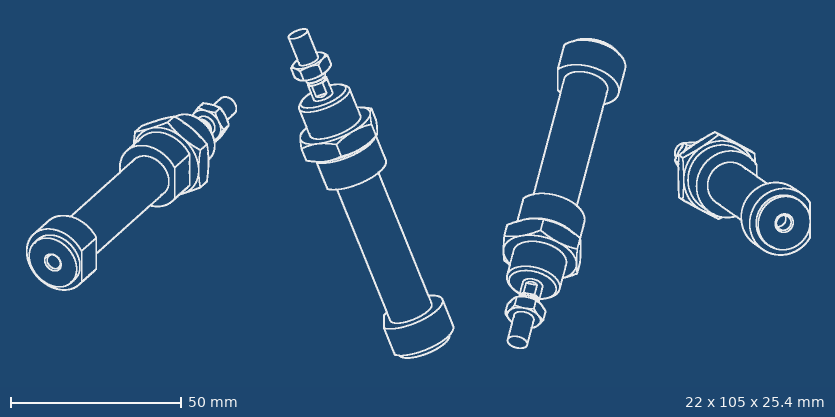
import cadquery as cq
import math


tube_diameter = 13.2
collar_diameter = 20.0
collar_length = 9.0
collar_flat_offset = 8.5
boss_diameter = 16.0
rear_boss_length = 2.0
tube_length = 47.0
front_boss_length = 17.0
front_boss_chamfer = 0.9

rear_hole_diameter = 4.5
rear_hole_mouth_diameter = 5.5
rear_hole_depth = 6.0
drill_point_angle = 118.0

rod_diameter = 6.0
rod_length = 21.0
relief_diameter = 5.0
relief_width = 1.0
relief_from_tip = 15.0
wrench_flat_width = 5.0
wrench_flat_length = 3.5

mounting_nut_across_flats = 22.0
mounting_nut_thickness = 6.0
mounting_nut_gap = 1.0
rod_nut_across_flats = 10.0
rod_nut_thickness = 4.0
rod_nut_from_tip = 9.0
nut_chamfer_angle = 30.0

rear_collar_y = rear_boss_length
tube_y = rear_collar_y + collar_length
front_collar_y = tube_y + tube_length
front_boss_y = front_collar_y + collar_length
front_face_y = front_boss_y + front_boss_length
rod_tip_y = front_face_y + rod_length
mounting_nut_y = front_boss_y + mounting_nut_gap
rod_nut_y = rod_tip_y - rod_nut_from_tip - rod_nut_thickness


def plane_at(y):
    """Sketch plane across the axis at y, extruding toward +Y, with local X along -X."""
    return cq.Workplane(cq.Plane(origin=(0, y, 0), xDir=(-1, 0, 0), normal=(0, 1, 0)))


def cylinder(y, length, diameter):
    return plane_at(y).circle(diameter / 2).extrude(length)


def revolve_about_y(points):
    """Turn a closed (radius, y) outline about the Y axis."""
    return cq.Workplane("XY").polyline(points).close().revolve(360, (0, 0, 0), (0, 1, 0))


def make_collar(y):
    """Round collar with one flat facing +X."""
    beyond_flat = (
        plane_at(y)
        .center(-collar_flat_offset - collar_diameter / 2, 0)
        .rect(collar_diameter, 2 * collar_diameter)
        .extrude(collar_length)
    )
    return cylinder(y, collar_length, collar_diameter).cut(beyond_flat)


def make_rear_hole():
    """Chamfered blind hole with a conical bottom, opening at the rear face."""
    radius = rear_hole_diameter / 2
    mouth_radius = rear_hole_mouth_diameter / 2
    mouth_depth = mouth_radius - radius
    point_length = radius / math.tan(math.radians(drill_point_angle / 2))
    return revolve_about_y([
        (0, 0),
        (mouth_radius, 0),
        (radius, mouth_depth),
        (radius, rear_hole_depth),
        (0, rear_hole_depth + point_length),
    ])


def make_body():
    front_boss = (
        cylinder(front_boss_y, front_boss_length, boss_diameter)
        .faces(">Y")
        .chamfer(front_boss_chamfer)
    )
    return (
        cylinder(0, rear_boss_length, boss_diameter)
        .union(make_collar(rear_collar_y))
        .union(cylinder(tube_y, tube_length, tube_diameter))
        .union(make_collar(front_collar_y))
        .union(front_boss)
        .cut(make_rear_hole())
    )


def make_rod():
    """Rod standing on the front face, with a thread relief groove and two wrench flats."""
    relief_end_y = rod_tip_y - relief_from_tip
    relief_start_y = relief_end_y - relief_width
    flat_end_y = relief_start_y - wrench_flat_length
    relief = (
        plane_at(relief_start_y)
        .circle(rod_diameter)
        .circle(relief_diameter / 2)
        .extrude(relief_width)
    )
    rod = cylinder(front_face_y, rod_length, rod_diameter).cut(relief)

    half_flat = wrench_flat_width / 2
    outside = rod_diameter
    for side in (1, -1):
        flat_cut = (
            cq.Workplane("YZ")
            .moveTo(relief_start_y, side * half_flat)
            .lineTo(flat_end_y, side * half_flat)
            .lineTo(flat_end_y - (outside - half_flat), side * outside)
            .lineTo(relief_start_y, side * outside)
            .close()
            .extrude(rod_diameter, both=True)
        )
        rod = rod.cut(flat_cut)
    return rod


def make_nut(y, thickness, across_flats, bore_diameter, turn):
    """Hex nut with both faces turned to a cone that leaves a circle as wide as the flats."""
    across_corners = across_flats / math.cos(math.radians(30))
    face_radius = across_flats / 2
    corner_radius = across_corners / 2
    chamfer_drop = (corner_radius - face_radius) * math.tan(math.radians(nut_chamfer_angle))
    hexagon = plane_at(y).transformed(rotate=(0, 0, turn)).polygon(6, across_corners).extrude(thickness)
    turned_blank = revolve_about_y([
        (0, y),
        (face_radius, y),
        (corner_radius, y + chamfer_drop),
        (corner_radius, y + thickness - chamfer_drop),
        (face_radius, y + thickness),
        (0, y + thickness),
    ])
    return hexagon.intersect(turned_blank).cut(cylinder(y, thickness, bore_diameter))


body = make_body()
rod = make_rod()
mounting_nut = make_nut(
    mounting_nut_y, mounting_nut_thickness, mounting_nut_across_flats, boss_diameter, turn=30
)
rod_nut = make_nut(rod_nut_y, rod_nut_thickness, rod_nut_across_flats, rod_diameter, turn=0)

result = cq.Compound.makeCompound([body.val(), rod.val(), mounting_nut.val(), rod_nut.val()])